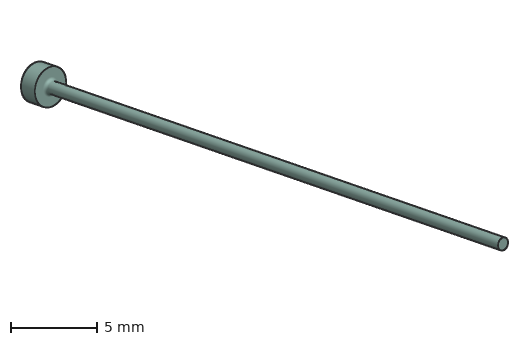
import cadquery as cq

total_length = 40.0
head_diameter = 2.5
head_length = 1.2
shank_diameter = 0.8
neck_fillet = 0.2

head_radius = head_diameter / 2
shank_radius = shank_diameter / 2

half_section = (
    cq.Workplane("XY")
    .lineTo(0, head_radius)
    .lineTo(head_length, head_radius)
    .lineTo(head_length, shank_radius + neck_fillet)
    .radiusArc((head_length + neck_fillet, shank_radius), -neck_fillet)
    .lineTo(total_length, shank_radius)
    .lineTo(total_length, 0)
    .close()
)

result = half_section.revolve(360, (0, 0, 0), (1, 0, 0))